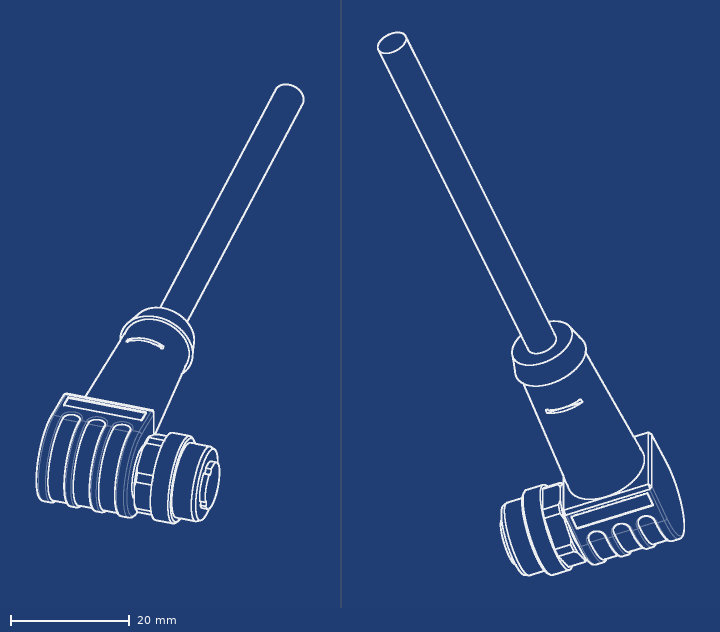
import cadquery as cq
import math


total_length = 114.7
total_width = 28.7

head_diameter = 15.9
head_radius = head_diameter / 2
head_width = 15.9
head_back = 8.1
head_taper = math.radians(4.3)
head_edge_round = 0.5
back_chamfer_depth = 0.3
back_chamfer_length = 0.7

groove_count = 3
groove_pitch = 4.5
groove_width = 2.9
groove_depth = 0.4
groove_lip_round = 0.3
groove_end_center = 0.9

label_length = 13.8
label_width = 2.6
label_center = 5.4
label_depth = 0.2

boot_base_diameter = 13.9
boot_tip_diameter = 11.6
collar_diameter = 12.8
collar_end_diameter = 10.9
collar_start = 33.7
collar_end = 37.6
boot_slot_center = 27.5
boot_slot_width = 0.7
boot_slot_floor = 5.2

cable_diameter = 5.2
cable_end = total_length - head_radius

plug_end = total_width - head_width / 2
nut_start = 9.0
ring_start = 12.2
sleeve_start = 15.6
sleeve_end = 19.7
neck_diameter = 9.3
nut_across_flats = 12.8
nut_corner_diameter = 14.0
nut_chamfer = 0.3
ring_diameter = 15.0
ring_chamfer = 0.3
sleeve_diameter = 12.8
sleeve_end_diameter = 12.3
sleeve_chamfer_length = 0.7
insert_diameter = 8.0
key_diameter = 1.1
key_angles = (107, 197)


def half_height(radius, y):
    """Z of the leaning top face, which touches the round nose, at a given Y."""
    return radius / math.cos(head_taper) - y * math.tan(head_taper)


def x_cylinder(diameter, start, end):
    """Cylinder on the plug axis between two X stations."""
    return cq.Workplane("YZ").workplane(offset=start).circle(diameter / 2).extrude(end - start)


def y_cone(start_diameter, end_diameter, start, end):
    """Cone on the cable axis between two Y stations."""
    profile = [(0, start), (start_diameter / 2, start), (end_diameter / 2, end), (0, end)]
    return cq.Workplane("XY").polyline(profile).close().revolve(360, (0, 0), (0, 1))


def head_block(radius):
    """Round-nosed block whose top and bottom lean in toward the back."""
    tangent_y = radius * math.sin(head_taper)
    tangent_z = radius * math.cos(head_taper)
    back_z = half_height(radius, head_back)
    return (
        cq.Workplane("YZ")
        .workplane(offset=-head_width / 2)
        .moveTo(tangent_y, tangent_z)
        .threePointArc((-radius, 0), (tangent_y, -tangent_z))
        .lineTo(head_back, -back_z)
        .lineTo(head_back, back_z)
        .close()
        .extrude(head_width)
    )


def groove_cutter(x_center):
    """Band round the nose that ends in a half circle on the top and bottom faces."""
    band_length = groove_end_center + head_diameter
    band = (
        cq.Workplane("XY")
        .workplane(offset=-head_diameter)
        .center(x_center, groove_end_center)
        .moveTo(groove_width / 2, 0)
        .threePointArc((0, groove_width / 2), (-groove_width / 2, 0))
        .lineTo(-groove_width / 2, -band_length)
        .lineTo(groove_width / 2, -band_length)
        .close()
        .extrude(2 * head_diameter)
    )
    return band.cut(head_block(head_radius - groove_depth))


def back_chamfer_envelope():
    """Pyramid widening from the back face toward -Y, whose sides cut the back chamfer."""
    back_height = 2 * half_height(head_radius, head_back)
    widening_angle = math.degrees(math.atan2(back_chamfer_depth, back_chamfer_length))
    return (
        cq.Workplane("XZ")
        .workplane(offset=-head_back)
        .rect(head_width - 2 * back_chamfer_depth, back_height - 2 * back_chamfer_depth)
        .extrude(head_back + head_radius, taper=-widening_angle)
    )


def grip_head():
    """Grip block with rounded outer edges, grooves and label recesses."""
    head = head_block(head_radius)
    head = head.faces("<X or >X").edges("not >Y").fillet(head_edge_round)
    head = head.intersect(back_chamfer_envelope())
    for index in range(groove_count):
        x_center = (index - (groove_count - 1) / 2) * groove_pitch
        head = head.cut(groove_cutter(x_center))
    head = head.edges("%ELLIPSE").edges(">Z").fillet(groove_lip_round)
    return head.cut(label_cutter())


def label_cutter():
    """Shallow rectangles sunk parallel to the leaning top and bottom faces."""
    floor = head_block(head_radius - label_depth)
    area = (
        cq.Workplane("XY")
        .workplane(offset=-head_diameter)
        .center(0, label_center)
        .rect(label_length, label_width)
        .extrude(2 * head_diameter)
    )
    return area.cut(floor)


def boot():
    """Tapered strain relief with a collar and a flat slot above and below."""
    body = y_cone(boot_base_diameter, boot_tip_diameter, head_back, collar_start)
    for side in (1, -1):
        slot = cq.Workplane("XY").box(boot_base_diameter, boot_slot_width, boot_base_diameter)
        slot_z = side * (boot_slot_floor + boot_base_diameter / 2)
        body = body.cut(slot.translate((0, boot_slot_center, slot_z)))
    return body.union(y_cone(collar_diameter, collar_end_diameter, collar_start, collar_end))


def cable():
    """Round cable running from the plug axis out to its free end."""
    return y_cone(cable_diameter, cable_diameter, 0, cable_end)


def coupling_nut():
    """Hexagon with turned corners, flats facing -Y and +Y, then a round ring."""
    hexagon = (
        cq.Workplane("YZ")
        .workplane(offset=nut_start)
        .polygon(6, nut_across_flats, circumscribed=True)
        .extrude(ring_start - nut_start)
    )
    turned = x_cylinder(nut_corner_diameter, nut_start, ring_start).faces("<X").chamfer(nut_chamfer)
    nut = hexagon.intersect(turned)
    ring = x_cylinder(ring_diameter, ring_start, sleeve_start).faces(">X").chamfer(ring_chamfer)
    return nut.union(ring)


def sleeve():
    """Round sleeve with a long, shallow chamfer at its end."""
    chamfer_depth = (sleeve_diameter - sleeve_end_diameter) / 2
    profile = [
        (sleeve_start, 0),
        (sleeve_start, sleeve_diameter / 2),
        (sleeve_end - sleeve_chamfer_length, sleeve_diameter / 2),
        (sleeve_end, sleeve_diameter / 2 - chamfer_depth),
        (sleeve_end, 0),
    ]
    return cq.Workplane("XY").polyline(profile).close().revolve(360, (0, 0), (1, 0))


def contact_insert():
    """Contact carrier in front of the sleeve with round keyways in its rim."""
    insert = x_cylinder(insert_diameter, sleeve_end, plug_end)
    for angle in key_angles:
        keyway = x_cylinder(key_diameter, sleeve_end, plug_end).translate((0, insert_diameter / 2, 0))
        insert = insert.cut(keyway.rotate((0, 0, 0), (1, 0, 0), angle))
    return insert


def neck():
    """Round neck joining the grip head to the coupling nut."""
    return x_cylinder(neck_diameter, 0, nut_start)


result = (
    grip_head()
    .union(boot())
    .union(cable())
    .union(neck())
    .union(coupling_nut())
    .union(sleeve())
    .union(contact_insert())
)